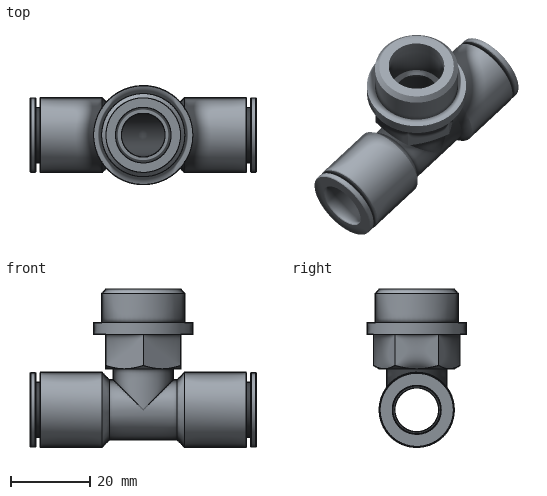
import cadquery as cq
import math

run_length = 57.0
body_dia = 19.0
waist_dia = 15.2
collar_dia = 18.8
collar_thickness = 1.4
neck_dia = 13.95
neck_length = 1.0
body_length = 15.6
edge_chamfer = 0.15

flange_dia = 25.0
thread_dia = 21.0
thread_top_dia = 18.8
thread_chamfer_height = 1.2
thread_height = 8.55
flange_thickness = 2.95
hex_height = 8.65
hex_across_flats = body_dia
hex_chamfer_angle = 30.0
overall_height = 40.0

passage_dia = 11.0
tube_socket_dia = 12.0
thread_counterbore_dia = 14.0

run_end = run_length / 2
body_end = run_end - collar_thickness - neck_length
shoulder = body_end - body_length
waist_end = shoulder - (body_dia - waist_dia) / 2

branch_top = overall_height - body_dia / 2
flange_top = branch_top - thread_height
flange_bottom = flange_top - flange_thickness
hex_bottom = flange_bottom - hex_height


def cylinder_x(diameter, start, end):
    return cq.Workplane("YZ", origin=(start, 0, 0)).circle(diameter / 2).extrude(end - start)


def cylinder_z(diameter, bottom, top):
    return cq.Workplane("XY", origin=(0, 0, bottom)).circle(diameter / 2).extrude(top - bottom)


def run_arm():
    """Revolve the +X arm of the run, beyond the waist, about the X axis."""
    body_radius = body_dia / 2
    collar_radius = collar_dia / 2
    profile = [
        (waist_end, 0),
        (waist_end, waist_dia / 2),
        (shoulder, body_radius),
        (body_end - edge_chamfer, body_radius),
        (body_end, body_radius - edge_chamfer),
        (body_end, neck_dia / 2),
        (run_end - collar_thickness, neck_dia / 2),
        (run_end - collar_thickness, collar_radius - edge_chamfer),
        (run_end - collar_thickness + edge_chamfer, collar_radius),
        (run_end - edge_chamfer, collar_radius),
        (run_end, collar_radius - edge_chamfer),
        (run_end, 0),
    ]
    return cq.Workplane("XY").polyline(profile).close().revolve(360, (0, 0, 0), (1, 0, 0))


def hexagon():
    """Hexagon with flats facing +X and -X, its lower corners cut by a cone."""
    corner_dia = hex_across_flats / math.cos(math.pi / 6)
    prism = (
        cq.Workplane("XY", origin=(0, 0, hex_bottom))
        .transformed(rotate=(0, 0, 90))
        .polygon(6, corner_dia)
        .extrude(hex_height)
    )
    chamfer_width = (corner_dia - hex_across_flats) / 2
    chamfer_rise = chamfer_width * math.tan(math.radians(hex_chamfer_angle))
    envelope = (
        cylinder_z(corner_dia, hex_bottom, flange_bottom)
        .faces("<Z").chamfer(chamfer_rise, chamfer_width)
    )
    return prism.intersect(envelope)


def thread_spigot():
    chamfer_width = (thread_dia - thread_top_dia) / 2
    return (
        cylinder_z(thread_dia, flange_top, branch_top)
        .faces(">Z").chamfer(thread_chamfer_height, chamfer_width)
    )


def tube_socket():
    """Cutter for the +X socket, with a chamfered mouth."""
    mouth = (
        cq.Workplane("YZ", origin=(run_end - edge_chamfer, 0, 0))
        .circle(tube_socket_dia / 2)
        .workplane(offset=edge_chamfer)
        .circle(tube_socket_dia / 2 + edge_chamfer)
        .loft()
    )
    return cylinder_x(tube_socket_dia, shoulder, run_end).union(mouth)


arm = run_arm()
waist = cylinder_x(waist_dia, -waist_end, waist_end)
run = waist.union(arm).union(arm.mirror("YZ"))
stem = cylinder_z(waist_dia, 0, hex_bottom)
flange = cylinder_z(flange_dia, flange_bottom, flange_top)
result = run.union(stem).union(hexagon()).union(flange).union(thread_spigot())

result = result.cut(cylinder_x(passage_dia, -run_end, run_end))
result = result.cut(cylinder_z(passage_dia, 0, branch_top))
result = result.cut(cylinder_z(thread_counterbore_dia, flange_bottom, branch_top))
socket = tube_socket()
result = result.cut(socket).cut(socket.mirror("YZ"))